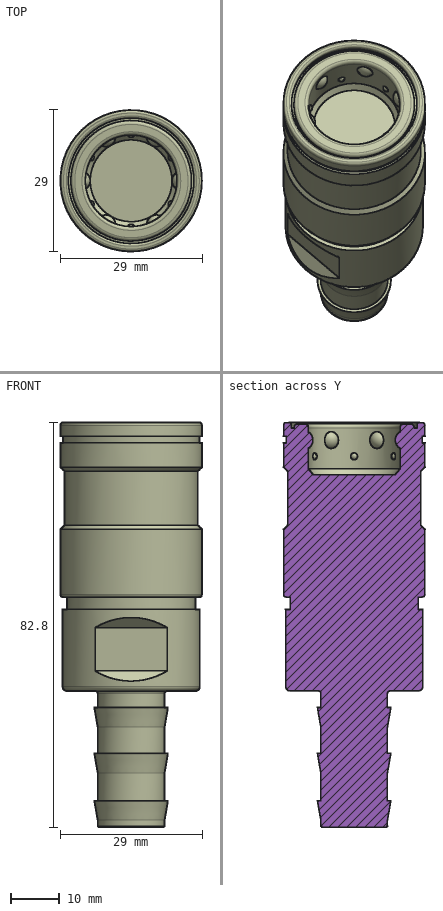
import cadquery as cq
import math

total_height = 82.8
sleeve_radius = 14.5

body_bottom = 27.8
body_top = 44.55
grip_bottom = 47.0
grip_top = 61.8
collar_bottom = 72.8
groove_bottom = 78.6
groove_top = 79.9

body_radius = 14.1
neck_radius = 13.2
sleeve_waist_radius = 13.7
groove_radius = 14.0

waist_chamfer = sleeve_radius - sleeve_waist_radius
grip_fillet = 0.6
rim_fillet = 0.6
body_fillet = 1.0

flat_distance = 12.0
flat_bottom = 32.0
flat_top = 40.8

stem_radius = 6.9
stem_root_fillet = 0.4
stem_tip_chamfer = 0.25
barb_radius = 7.5
barb_height = 4.0
barb_land = 0.2
barb_bottoms = (1.5, 11.2, 20.5)

gap_outer_radius = 12.8
gap_inner_radius = 12.3
gap_floor = 81.6
rim_inner_fillet = 0.5
tube_top = 82.5
tube_outer_fillet = 0.75
bore_radius = 9.35
bore_fillet = 0.75
bore_cone_top = 73.3
bore_floor = 72.1
bore_floor_radius = 8.4

spheres_per_row = 6
ball_radius = 2.0
ball_inner_reach = 8.4
ball_height = 79.15
small_ball_radius = 0.75
small_ball_inner_reach = 8.9
small_ball_height = 75.85


def cylinder(radius, bottom, top):
    return cq.Workplane("XY").workplane(offset=bottom).circle(radius).extrude(top - bottom)


def turned(points):
    """Revolve a closed outline of (radius, height) points about Z."""
    return cq.Workplane("XZ").polyline(points).close().revolve(360, (0, 0), (0, 1))


def ring_edge(radius, height):
    """Selector for the circular edge of the given radius at the given height."""
    tolerance = 0.04
    reach = radius + tolerance
    return cq.selectors.BoxSelector(
        (-reach, -reach, height - tolerance),
        (reach, reach, height + tolerance),
        boundingbox=True,
    )


def make_sleeve():
    neck = cylinder(neck_radius, body_top, grip_bottom)
    grip = cylinder(sleeve_radius, grip_bottom, grip_top)
    grip = grip.faces("<Z").edges().fillet(grip_fillet)
    grip = grip.faces(">Z").edges().chamfer(waist_chamfer)
    waist = cylinder(sleeve_waist_radius, grip_top, collar_bottom)
    collar = cylinder(sleeve_radius, collar_bottom, groove_bottom)
    collar = collar.faces("<Z").edges().chamfer(waist_chamfer)
    groove = cylinder(groove_radius, groove_bottom, groove_top)
    rim = cylinder(sleeve_radius, groove_top, total_height)
    rim = rim.faces(">Z").edges().fillet(rim_fillet)
    return neck.union(grip).union(waist).union(collar).union(groove).union(rim)


def make_flat_cutter(side):
    """Trapezoidal cutter with 45 degree ends, on the +Y (1) or -Y (-1) side."""
    flare = sleeve_radius - flat_distance
    inner = side * flat_distance
    outer = side * sleeve_radius
    outline = [
        (inner, flat_bottom),
        (outer, flat_bottom - flare),
        (outer, flat_top + flare),
        (inner, flat_top),
    ]
    return cq.Workplane("YZ").polyline(outline).close().extrude(sleeve_radius, both=True)


def make_body():
    body = cylinder(body_radius, body_bottom, body_top)
    body = body.faces("<Z").edges().fillet(body_fillet)
    for side in (-1, 1):
        body = body.cut(make_flat_cutter(side))
    return body


def make_stem():
    stem = cylinder(stem_radius, 0, body_bottom)
    stem = stem.faces("<Z").edges().chamfer(stem_tip_chamfer)
    for bottom in barb_bottoms:
        top = bottom + barb_height
        barb = turned([
            (0, bottom),
            (stem_radius, bottom),
            (barb_radius, top - barb_land),
            (barb_radius, top),
            (0, top),
        ])
        stem = stem.union(barb)
    return stem


def make_stem_root():
    """Concave fillet where the stem meets the underside of the body."""
    reach = stem_radius + stem_root_fillet
    start = body_bottom - stem_root_fillet
    sag = stem_root_fillet * (1 - math.sqrt(0.5))
    outline = (
        cq.Workplane("XZ")
        .moveTo(0, start)
        .lineTo(stem_radius, start)
        .threePointArc((stem_radius + sag, body_bottom - sag), (reach, body_bottom))
        .lineTo(0, body_bottom)
        .close()
    )
    return outline.revolve(360, (0, 0), (0, 1))


def make_socket(coupling):
    """Lower the tube end below the rim, cut the gap between them and sink the bore."""
    rim_opening = cylinder(gap_outer_radius, gap_floor, total_height)
    tube_end = cylinder(gap_inner_radius, gap_floor, tube_top)
    tube_end = tube_end.faces(">Z").edges().fillet(tube_outer_fillet)
    bore = turned([
        (0, bore_floor),
        (bore_floor_radius, bore_floor),
        (bore_radius, bore_cone_top),
        (bore_radius, tube_top),
        (0, tube_top),
    ])
    socket = coupling.cut(rim_opening).union(tube_end).cut(bore)
    socket = socket.edges(ring_edge(gap_outer_radius, total_height)).fillet(rim_inner_fillet)
    return socket.edges(ring_edge(bore_radius, tube_top)).fillet(bore_fillet)


def make_spheres(radius, inner_reach, height, first_angle):
    """Row of balls whose innermost points lie at inner_reach from the axis."""
    return (
        cq.Workplane("XY")
        .workplane(offset=height)
        .polarArray(inner_reach + radius, first_angle, 360, spheres_per_row)
        .sphere(radius)
    )


half_pitch = 180 / spheres_per_row

result = make_sleeve().union(make_body()).union(make_stem_root()).union(make_stem())
result = make_socket(result)
result = result.union(make_spheres(ball_radius, ball_inner_reach, ball_height, 0))
result = result.union(make_spheres(small_ball_radius, small_ball_inner_reach, small_ball_height, half_pitch))